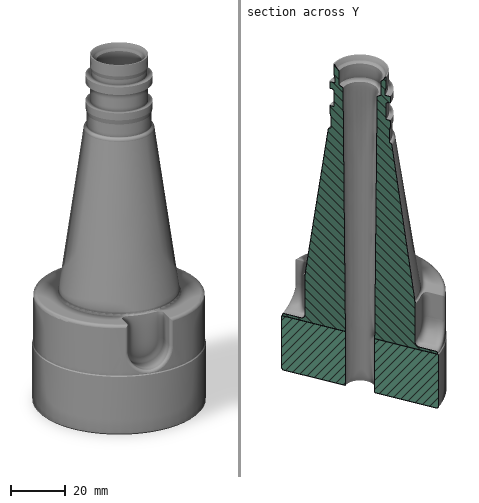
import cadquery as cq
import math

TOTAL_HEIGHT = 138.4
BASE_HEIGHT = 23.7
FLANGE_TOP = 43.6

BASE_DIAMETER = 63.5
BASE_RADIUS = BASE_DIAMETER / 2
BASE_BOTTOM_CHAMFER = 0.7
BASE_TOP_CHAMFER = 0.35
BORE_RADIUS = 5.8

PAD_RADIUS = 5.5
PAD_CENTER_Z = 16.7
PAD_STANDOUT = 0.1
PAD_FACE_Y = BASE_RADIUS + PAD_STANDOUT
PAD_DEPTH = 1.5

FLANGE_RADIUS = 31.4
FLANGE_TOP_FILLET = 1.2

SLOT_HALF_WIDTH = 8.2
SLOT_CENTER_Z = 33.0
SLOT_FLOOR_X = 22.3
SLOT_FLOOR_FILLET = 1.7
SLOT_MOUTH_FILLET = 1.0

CONE_FOOT_RADIUS = 22.1
CONE_FOOT_Z = 45.0
CONE_FOOT_FILLET = 0.7
CONE_TOP_RADIUS = 13.0
CONE_TOP_Z = 108.9
CONE_TOP_ROUND_HEIGHT = 1.4

SHANK_RADIUS = 11.9
COLLAR_RADIUS = 12.3
NECK_RADIUS = 10.7
GROOVE_RADIUS = 10.2
LOWER_COLLAR_BOTTOM = 115.4
LOWER_COLLAR_EDGE = 117.2
LOWER_COLLAR_TOP = 120.0
UPPER_COLLAR_BOTTOM = 127.3
UPPER_COLLAR_TOP = 130.4
COLLAR_ROOT_CHAMFER = 0.4
GROOVE_TOP = 132.5
LIP_BOTTOM = 134.0

EDGE_MARGIN = 0.1

MOUTH_RADIUS = 10.2
MOUTH_CONE_RADIUS = 9.3
MOUTH_CONE_Z = 136.7
SOCKET_RADIUS = 8.3
SOCKET_TOP = 135.9
SOCKET_BOTTOM = 130.0
SEAT_RADIUS = 6.8
SEAT_Z = 129.0

ARC_INSET = 1 - math.sqrt(0.5)


def cylinder(radius, height, bottom=0.0):
    return cq.Workplane("XY").workplane(offset=bottom).circle(radius).extrude(height)


def make_base_ring():
    """Plain ring with broken edges, a through bore and a round flat pad."""
    ring = cylinder(BASE_RADIUS, BASE_HEIGHT)
    ring = ring.faces("<Z").edges().chamfer(BASE_BOTTOM_CHAMFER)
    ring = ring.faces(">Z").edges().chamfer(BASE_TOP_CHAMFER)
    pad = (
        cq.Workplane("XZ", origin=(0, PAD_FACE_Y, 0))
        .center(0, PAD_CENTER_Z)
        .circle(PAD_RADIUS)
        .extrude(PAD_DEPTH)
    )
    return ring.union(pad).cut(cylinder(BORE_RADIUS, BASE_HEIGHT))


def slot_tool():
    """Round-bottomed block on the +X side, its floor edge rounded, as high as the flange top."""
    return (
        cq.Workplane("YZ", origin=(SLOT_FLOOR_X, 0, 0))
        .moveTo(-SLOT_HALF_WIDTH, FLANGE_TOP)
        .lineTo(-SLOT_HALF_WIDTH, SLOT_CENTER_Z)
        .threePointArc((0, SLOT_CENTER_Z - SLOT_HALF_WIDTH), (SLOT_HALF_WIDTH, SLOT_CENTER_Z))
        .lineTo(SLOT_HALF_WIDTH, FLANGE_TOP)
        .close()
        .extrude(FLANGE_RADIUS)
        .faces("<X")
        .edges("not >Z")
        .fillet(SLOT_FLOOR_FILLET)
    )


def nozzle_blank():
    """Turned outside shape of the flange, cone and hose end."""
    foot_flare = CONE_FOOT_RADIUS + CONE_FOOT_FILLET
    foot_flare_top = FLANGE_TOP + CONE_FOOT_FILLET
    foot_middle = (
        CONE_FOOT_RADIUS + CONE_FOOT_FILLET * ARC_INSET,
        FLANGE_TOP + CONE_FOOT_FILLET * ARC_INSET,
    )
    shoulder_middle = (
        CONE_TOP_RADIUS - (CONE_TOP_RADIUS - SHANK_RADIUS) * ARC_INSET,
        CONE_TOP_Z + CONE_TOP_ROUND_HEIGHT * (1 - ARC_INSET),
    )
    return (
        cq.Workplane("XZ")
        .moveTo(0, BASE_HEIGHT)
        .lineTo(FLANGE_RADIUS, BASE_HEIGHT)
        .lineTo(FLANGE_RADIUS, FLANGE_TOP)
        .lineTo(foot_flare, FLANGE_TOP)
        .threePointArc(foot_middle, (CONE_FOOT_RADIUS, foot_flare_top))
        .lineTo(CONE_FOOT_RADIUS, CONE_FOOT_Z)
        .lineTo(CONE_TOP_RADIUS, CONE_TOP_Z)
        .threePointArc(shoulder_middle, (SHANK_RADIUS, CONE_TOP_Z + CONE_TOP_ROUND_HEIGHT))
        .lineTo(SHANK_RADIUS, LOWER_COLLAR_BOTTOM)
        .lineTo(COLLAR_RADIUS, LOWER_COLLAR_EDGE)
        .lineTo(COLLAR_RADIUS, LOWER_COLLAR_TOP)
        .lineTo(NECK_RADIUS, LOWER_COLLAR_TOP)
        .lineTo(NECK_RADIUS, UPPER_COLLAR_BOTTOM - COLLAR_ROOT_CHAMFER)
        .lineTo(NECK_RADIUS + COLLAR_ROOT_CHAMFER, UPPER_COLLAR_BOTTOM)
        .lineTo(COLLAR_RADIUS, UPPER_COLLAR_BOTTOM)
        .lineTo(COLLAR_RADIUS, UPPER_COLLAR_TOP)
        .lineTo(GROOVE_RADIUS, UPPER_COLLAR_TOP)
        .lineTo(GROOVE_RADIUS, GROOVE_TOP)
        .lineTo(NECK_RADIUS, LIP_BOTTOM)
        .lineTo(NECK_RADIUS, TOTAL_HEIGHT)
        .lineTo(0, TOTAL_HEIGHT)
        .close()
        .revolve(360, (0, 0), (0, 1))
    )


def nozzle_bore():
    """Stepped mouth leading through a conical seat into a tapered bore."""
    return (
        cq.Workplane("XZ")
        .moveTo(0, BASE_HEIGHT)
        .lineTo(BORE_RADIUS, BASE_HEIGHT)
        .lineTo(SEAT_RADIUS, SEAT_Z)
        .lineTo(SOCKET_RADIUS, SOCKET_BOTTOM)
        .lineTo(SOCKET_RADIUS, SOCKET_TOP)
        .lineTo(MOUTH_CONE_RADIUS, MOUTH_CONE_Z)
        .lineTo(MOUTH_RADIUS, TOTAL_HEIGHT)
        .lineTo(0, TOTAL_HEIGHT)
        .close()
        .revolve(360, (0, 0), (0, 1))
    )


def slot_mouth_edges(nozzle):
    """Edges where the slot walls break through the round side of the flange."""
    wall_x = math.sqrt(FLANGE_RADIUS**2 - SLOT_HALF_WIDTH**2)
    slot_bottom = SLOT_CENTER_Z - SLOT_HALF_WIDTH
    low_corner = (wall_x - EDGE_MARGIN, -FLANGE_RADIUS, slot_bottom)
    high_corner = (FLANGE_RADIUS + EDGE_MARGIN, FLANGE_RADIUS, FLANGE_TOP)
    mirrored_low = (-high_corner[0], *low_corner[1:])
    mirrored_high = (-low_corner[0], *high_corner[1:])
    return nozzle.edges(
        cq.selectors.BoxSelector(low_corner, high_corner)
        + cq.selectors.BoxSelector(mirrored_low, mirrored_high)
    )


def rim_cutter():
    """Ring that rounds the outer edge of the flange's top face."""
    inner_radius = FLANGE_RADIUS - FLANGE_TOP_FILLET
    outer_radius = FLANGE_RADIUS + EDGE_MARGIN
    arc_bottom = FLANGE_TOP - FLANGE_TOP_FILLET
    arc_middle = (
        FLANGE_RADIUS - FLANGE_TOP_FILLET * ARC_INSET,
        FLANGE_TOP - FLANGE_TOP_FILLET * ARC_INSET,
    )
    return (
        cq.Workplane("XZ")
        .moveTo(inner_radius, FLANGE_TOP)
        .threePointArc(arc_middle, (FLANGE_RADIUS, arc_bottom))
        .lineTo(outer_radius, arc_bottom)
        .lineTo(outer_radius, FLANGE_TOP + EDGE_MARGIN)
        .lineTo(inner_radius, FLANGE_TOP + EDGE_MARGIN)
        .close()
        .revolve(360, (0, 0), (0, 1))
    )


def make_nozzle():
    """Slotted flange, cone and hose end in one piece."""
    nozzle = nozzle_blank()
    tool = slot_tool()
    for angle in (0, 180):
        nozzle = nozzle.cut(tool.rotate((0, 0, 0), (0, 0, 1), angle))
    nozzle = slot_mouth_edges(nozzle).fillet(SLOT_MOUTH_FILLET)
    return nozzle.cut(rim_cutter()).cut(nozzle_bore())


base_ring = make_base_ring()
nozzle = make_nozzle()
result = cq.Compound.makeCompound([base_ring.val(), nozzle.val()])